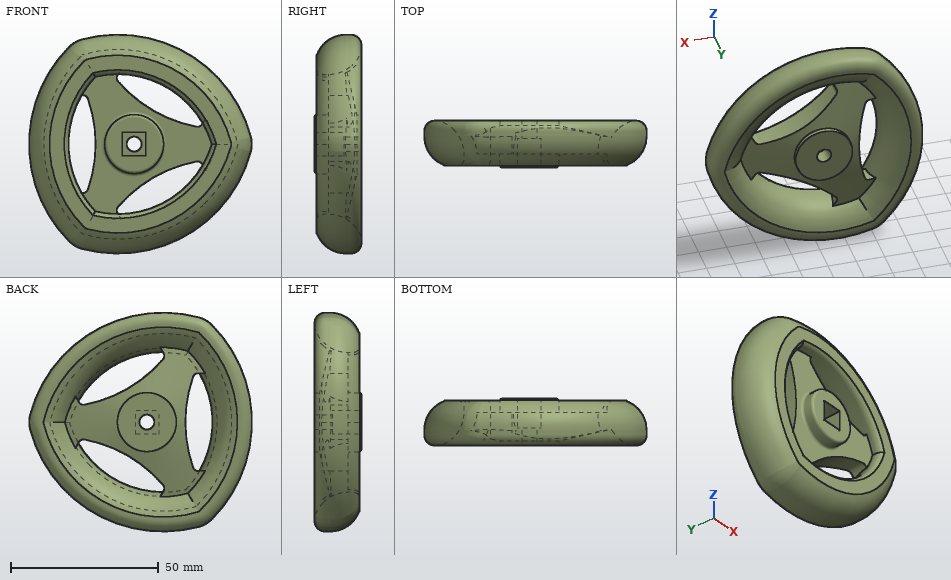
import cadquery as cq
import math

SIDES = 3
HALF_STEP = 180 / SIDES

tip_reach = 39.9
corner_radius = 10.0
side_reach = 35.66
corner_distance = tip_reach - corner_radius
corner_gap = side_reach - corner_radius
side_offset = (corner_distance**2 - corner_gap**2) / (2 * corner_gap - corner_distance)
side_radius = side_reach + side_offset

rim_depth = 15.35
back_round = 3.7
crown_start = 5.3
crown_inset = 6.7
bevel_inset = 0.3
bevel_depth = 0.25

opening_reach = 22.2
lip_inset = 1.5
lip_depth = 2.6
inner_back_inset = 8.5

web_front = 11.3
web_hub_thickness = 9.6
web_outer_thickness = 6.5
web_outer_radius = 24.0
web_reach = 28.0
window_reach = 13.1
window_arc_radius = side_radius
window_half_length = 16.55
window_corner = 1.8

hub_radius = 10.0
hub_round = 1.0
hub_depth = 16.02
socket_size = 8.0
socket_depth = 10.0
bore_diameter = 5.0


def plane_at(depth):
    """Sketch plane facing the front, with local x = X and local y = Z."""
    return cq.Workplane("XZ", origin=(0, -depth, 0))


def turn(shape, angle):
    return shape.rotate((0, 0, 0), (0, -1, 0), angle)


def turn_to_side(shape, index):
    """Turn a shape centred on +X to the middle of one of the sides."""
    return turn(shape, HALF_STEP * (1 + 2 * index))


def spin(section, angle=360):
    """Revolve a section in the XY plane about the Y axis."""
    return section.revolve(angle, (0, 0, 0), (0, -1, 0))


def arc_middle(radius, depth, inset, rise):
    """Middle of an arc that leaves (radius, depth) along Y and shifts by inset over the rise."""
    arc_radius = (rise**2 + inset**2) / (2 * abs(inset))
    half_sweep = math.atan2(abs(rise), arc_radius - abs(inset)) / 2
    return (
        radius + math.copysign(arc_radius * (1 - math.cos(half_sweep)), inset),
        -depth - math.copysign(arc_radius * math.sin(half_sweep), rise),
    )


def arc_from_straight(section, radius, depth, inset, rise):
    """Add an arc that starts along Y at (radius, depth)."""
    middle = arc_middle(radius, depth, inset, rise)
    return section.threePointArc(middle, (radius + inset, -depth - rise))


def arc_to_straight(section, radius, depth, inset, rise):
    """Add the same arc run the other way, ending along Y at (radius, depth)."""
    middle = arc_middle(radius, depth, inset, rise)
    return section.threePointArc(middle, (radius, -depth))


def rim_sector(radius, center_x, half_angle):
    """Sector of the solid rim body about an axis through (center_x, 0), centred on +X."""
    crown_rise = rim_depth - bevel_depth - crown_start
    section = cq.Workplane("XY").lineTo(radius - back_round, 0)
    section = arc_to_straight(section, radius, back_round, -back_round, -back_round)
    section = section.lineTo(radius, -crown_start)
    section = arc_from_straight(section, radius, crown_start, -crown_inset, crown_rise)
    section = section.lineTo(radius - crown_inset - bevel_inset, -rim_depth).lineTo(0, -rim_depth).close()
    return turn(spin(section, 2 * half_angle), -half_angle).translate((center_x, 0, 0))


def rim_body():
    side_half = math.degrees(
        math.atan2(
            corner_distance * math.sin(math.pi / SIDES),
            side_offset + corner_distance * math.cos(math.pi / SIDES),
        )
    )
    side = rim_sector(side_radius, -side_offset, side_half)
    corner = rim_sector(corner_radius, corner_distance, HALF_STEP - side_half)
    body = turn_to_side(side, 0)
    for index in range(1, SIDES):
        body = body.union(turn_to_side(side, index))
    for index in range(SIDES):
        body = body.union(turn(corner, 2 * HALF_STEP * index))
    return body


def common_to_sides(disc):
    """Sharp-cornered region shared by copies of a disc, each centred behind the hub axis."""
    side = disc.translate((-side_offset, 0, 0))
    shared = turn_to_side(side, 0)
    for index in range(1, SIDES):
        shared = shared.intersect(turn_to_side(side, index))
    return shared


def opening():
    """Through opening that flares toward both faces of the rim."""
    radius = opening_reach + side_offset
    lip_start = rim_depth - lip_depth
    section = cq.Workplane("XY").lineTo(radius + inner_back_inset, 0)
    section = arc_to_straight(section, radius, web_front, inner_back_inset, -web_front)
    section = section.lineTo(radius, -lip_start)
    section = arc_from_straight(section, radius, lip_start, lip_inset, lip_depth)
    section = section.lineTo(0, -rim_depth).close()
    return common_to_sides(spin(section))


def window():
    """Window on the +X side, reaching into the rim that bounds it."""
    end_x = window_reach + window_arc_radius - math.sqrt(window_arc_radius**2 - window_half_length**2)
    blank = (
        plane_at(0)
        .moveTo(end_x, -window_half_length)
        .threePointArc((window_reach, 0), (end_x, window_half_length))
        .lineTo(side_reach, window_half_length)
        .lineTo(side_reach, -window_half_length)
        .close()
        .extrude(web_front)
    )
    return blank.edges("|Y").edges("<X").fillet(window_corner)


def web():
    """Plate with a flat front, a conical back and three windows."""
    slope = (web_hub_thickness - web_outer_thickness) / (web_outer_radius - hub_radius)
    edge_thickness = web_outer_thickness - slope * (tip_reach - web_outer_radius)
    plate = spin(
        cq.Workplane("XY")
        .moveTo(0, -web_front)
        .lineTo(tip_reach, -web_front)
        .lineTo(tip_reach, edge_thickness - web_front)
        .lineTo(hub_radius, web_hub_thickness - web_front)
        .lineTo(0, web_hub_thickness - web_front)
        .close()
    )
    plate = plate.intersect(common_to_sides(plane_at(0).circle(web_reach + side_offset).extrude(web_front)))
    for index in range(SIDES):
        plate = plate.cut(turn_to_side(window(), index))
    return plate


def hub():
    """Round boss with a rounded front edge and a fillet where it meets the web."""
    section = (
        cq.Workplane("XY")
        .lineTo(hub_radius, 0)
        .lineTo(hub_radius, -web_front)
        .lineTo(hub_radius + hub_round, -web_front)
    )
    section = arc_to_straight(section, hub_radius, web_front + hub_round, hub_round, -hub_round)
    section = section.lineTo(hub_radius, hub_round - hub_depth)
    section = arc_from_straight(section, hub_radius, hub_depth - hub_round, -hub_round, hub_round)
    return spin(section.lineTo(0, -hub_depth).close())


def socket():
    return plane_at(hub_depth - socket_depth).rect(socket_size, socket_size).extrude(socket_depth)


def bore():
    return plane_at(0).circle(bore_diameter / 2).extrude(hub_depth)


wheel = rim_body().cut(opening())
wheel = wheel.union(web().union(hub()))
result = wheel.cut(socket()).cut(bore())